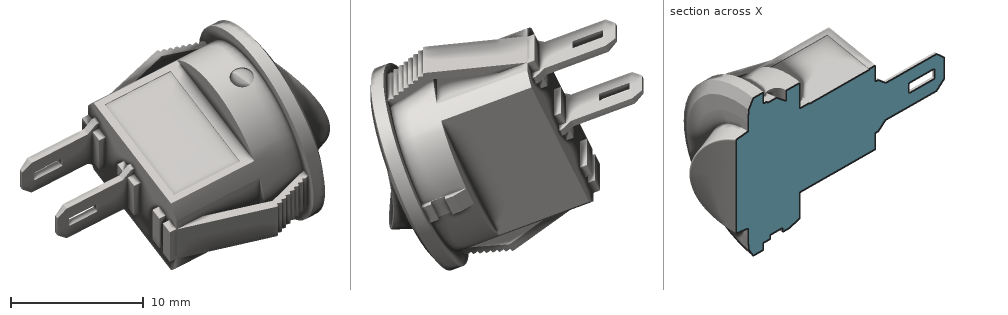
import cadquery as cq


flange_radius = 8.15
flange_thickness = 1.54
flange_edge = 1.02
bevel_radius = 7.2
bevel_height = 1.47
flange_front_radius = 5.88
barrel_radius = 7.0
barrel_depth = 3.6
body_depth = 11.02
body_half_width = 6.28
body_half_height = 4.35

label_width = 9.85
label_length = 5.85
label_back_margin = 0.62
label_depth = 0.1

pivot_y = -1.3
rocker_tilt = 17
rocker_base_radius = 5.3
rocker_base_level = 0.45
rocker_top_radius = 4.92
rocker_top_level = 4.59
dish_depth = 0.8
rocker_edge_fillet = 0.11

pivot_hole_radius = 0.91
pivot_hole_depth = 0.18

key_width = 1.47
key_height = 0.42
key_notch_start = 0.71
key_notch_end = 1.87
key_ramp_start = 2.55

clip_width = 3.85
clip_elbow_x = 8.5
clip_elbow_depth = 3.55
clip_arm_inner_x = 6.75
clip_arm_outer_x = 7.35
clip_inner_elbow_x = 7.88
clip_inner_elbow_depth = 3.47
clip_inner_foot_depth = 8.73
tooth_count = 8
tooth_pitch = 0.47
tooth_crest = 0.13
tooth_shelf = 0.1
tooth_depth = 0.25

pad_spans = [(-6.23, -3.78), (-1.18, 1.18), (3.78, 4.75), (5.25, 6.23)]
pad_thickness = 0.58

terminals = [(-5.0, 0.58), (0, 0.51)]
terminal_end = 17.79
terminal_tip_length = 0.75
terminal_half_width = clip_width / 2
shoulder_half_width = 2.67
shoulder_length = 0.27
shoulder_bevel = 0.73
tip_half_width = 1.11
tip_thickness = 0.31
slot_start = 14.3
slot_end = 16.83
slot_width = 1.0
slot_corner_radius = 0.13


def box(x_min, x_max, y_min, y_max, z_min, z_max):
    """Axis-aligned box between two corners."""
    size = (x_max - x_min, y_max - y_min, z_max - z_min)
    return cq.Workplane("XY").box(*size, centered=False).translate((x_min, y_min, z_min))


def make_housing():
    """Flange with a bevelled, slightly conical front, round barrel and flat-sided body."""
    half_section = [
        (0, -barrel_depth),
        (barrel_radius, -barrel_depth),
        (barrel_radius, 0),
        (flange_radius, 0),
        (flange_radius, flange_edge),
        (bevel_radius, bevel_height),
        (flange_front_radius, flange_thickness),
        (0, flange_thickness),
    ]
    housing = cq.Workplane("XY").polyline(half_section).close().revolve(360, (0, 0), (0, 1))
    body = cq.Workplane("XZ").circle(barrel_radius).extrude(body_depth)
    flats = box(
        -body_half_width, body_half_width, -body_depth, 0, -body_half_height, body_half_height
    )
    return housing.union(body.intersect(flats))


def make_label_recess():
    """Shallow rectangular pocket in the top flat of the body."""
    back = -body_depth + label_back_margin
    return box(
        -label_width / 2, label_width / 2,
        back, back + label_length,
        body_half_height - label_depth, body_half_height,
    )


def make_pivot_hole():
    """Pivot hole whose floor is the pin end: half flat, half bevelled, turned with the rocker."""
    radius = pivot_hole_radius
    floor = barrel_radius - pivot_hole_depth
    section = [
        (-radius, floor - radius),
        (0, floor),
        (radius, floor),
        (radius, flange_radius),
        (-radius, flange_radius),
    ]
    space_above_pin = cq.Workplane("YZ").polyline(section).close().extrude(radius, both=True)
    space_above_pin = space_above_pin.rotate((0, 0, 0), (0, 0, 1), rocker_tilt)
    hole = cq.Workplane("XY").circle(radius).extrude(flange_radius)
    return hole.intersect(space_above_pin).translate((0, pivot_y, 0))


def make_rocker():
    """Tapered disc with a dished face, tilted about the pivot."""
    half_section = [
        (0, rocker_base_level),
        (rocker_base_radius, rocker_base_level),
        (rocker_top_radius, rocker_top_level),
        (0, rocker_top_level),
    ]
    disc = cq.Workplane("XY").polyline(half_section).close().revolve(360, (0, 0), (0, 1))
    dish_radius = (rocker_top_radius**2 + dish_depth**2) / (2 * dish_depth)
    dish_centre = rocker_top_level - dish_depth + dish_radius
    dish = (
        cq.Workplane("XY")
        .center(0, dish_centre)
        .circle(dish_radius)
        .extrude(2 * rocker_base_radius, both=True)
    )
    rocker = disc.cut(dish)
    rocker = rocker.faces(">Y").edges().fillet(rocker_edge_fillet)
    return rocker.rotate((0, 0, 0), (0, 0, 1), rocker_tilt).translate((0, pivot_y, 0))


def make_key():
    """Keying rib with a cross notch and a ramp at its back end."""
    bottom = -barrel_radius - key_height
    root = -barrel_radius + key_height
    outline = [
        (0, root),
        (0, bottom),
        (-key_notch_start, bottom),
        (-key_notch_start, -barrel_radius),
        (-key_notch_end, -barrel_radius),
        (-key_notch_end, bottom),
        (-key_ramp_start, bottom),
        (-barrel_depth, -barrel_radius),
        (-barrel_depth, root),
    ]
    return cq.Workplane("YZ").polyline(outline).close().extrude(key_width / 2, both=True)


def make_clip():
    """Bent spring clip on the +X side with a sawtooth grip on its free arm."""
    grip_slope = (clip_elbow_x - clip_arm_outer_x) / clip_elbow_depth
    clip = (
        cq.Workplane("XY")
        .moveTo(body_half_width, -body_depth)
        .lineTo(body_half_width, -clip_inner_foot_depth)
        .lineTo(clip_inner_elbow_x, -clip_inner_elbow_depth)
        .lineTo(clip_arm_inner_x, 0)
        .lineTo(clip_arm_outer_x, 0)
    )
    for tooth in range(tooth_count):
        to_elbow = (tooth_count - 1 - tooth) * tooth_pitch
        crest_x = clip_elbow_x - grip_slope * to_elbow
        crest_y = -clip_elbow_depth + to_elbow
        if tooth > 0:
            clip = clip.lineTo(crest_x - tooth_depth, crest_y + tooth_crest + tooth_shelf)
            clip = clip.lineTo(crest_x, crest_y + tooth_crest)
        clip = clip.lineTo(crest_x, crest_y)
    clip = clip.close()
    return clip.extrude(clip_width / 2, both=True)


def make_pad(left, right):
    """Raised rectangular pad on the back face."""
    return box(
        left, right, -body_depth - pad_thickness, -body_depth, -clip_width / 2, clip_width / 2
    )


def make_terminal(centre, thickness):
    """Blade with bevelled shoulders, a slot and a tip tapered in width and thickness."""
    shoulder_y = -body_depth - shoulder_length
    tip_y = -terminal_end + terminal_tip_length
    upper = [
        (-body_depth, shoulder_half_width),
        (shoulder_y, shoulder_half_width),
        (shoulder_y - shoulder_bevel, terminal_half_width),
        (tip_y, terminal_half_width),
        (-terminal_end, tip_half_width),
    ]
    lower = [(y, -z) for y, z in reversed(upper)]
    blade = cq.Workplane("YZ").polyline(upper + lower).close().extrude(thickness / 2, both=True)

    right = [
        (thickness / 2, -body_depth),
        (thickness / 2, tip_y),
        (tip_thickness / 2, -terminal_end),
    ]
    left = [(-x, y) for x, y in reversed(right)]
    taper = (
        cq.Workplane("XY").polyline(right + left).close().extrude(shoulder_half_width, both=True)
    )

    slot = (
        box(-thickness, thickness, -slot_end, -slot_start, -slot_width / 2, slot_width / 2)
        .edges("|X")
        .fillet(slot_corner_radius)
    )
    return blade.intersect(taper).cut(slot).translate((centre, 0, 0))


result = make_housing().union(make_rocker()).union(make_key())
right_clip = make_clip()
result = result.union(right_clip).union(right_clip.mirror("YZ"))
for left_edge, right_edge in pad_spans:
    result = result.union(make_pad(left_edge, right_edge))
for centre, thickness in terminals:
    result = result.union(make_terminal(centre, thickness))
result = result.cut(make_label_recess()).cut(make_pivot_hole())